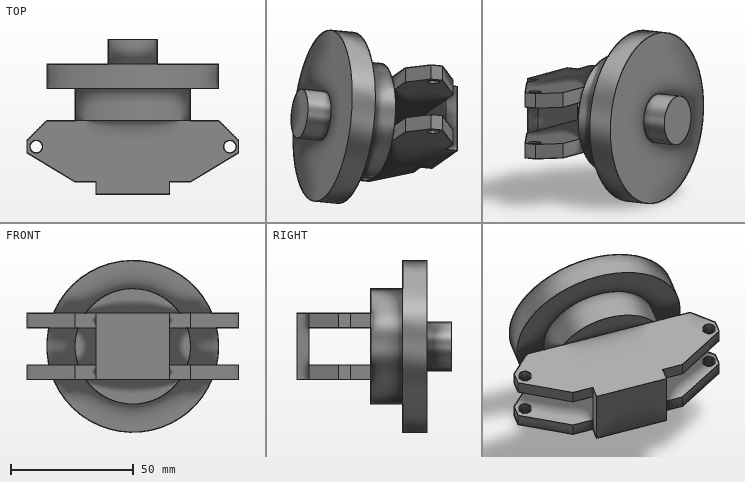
import cadquery as cq

stub_diameter = 20
stub_length = 10
flange_diameter = 70
flange_thickness = 10
boss_diameter = 47
boss_length = 13

plate_thickness = 6
plate_gap = 15
plate_depth = 25
plate_width = 86.26
plate_tip_half_width = plate_width / 2
plate_back_half_width = flange_diameter / 2
plate_front_half_width = boss_diameter / 2
tip_edge_length = 5
tip_back_offset = plate_tip_half_width - plate_back_half_width
tip_front_offset = tip_back_offset + tip_edge_length

pin_hole_diameter = 5
left_pin_hole_x = -39.3
right_pin_hole_x = 39.55
pin_hole_offset = tip_back_offset + tip_edge_length / 2

bridge_width = 30
bridge_thickness = 5
bridge_height = plate_gap + 2 * plate_thickness

boss_face_y = 0
flange_front_y = boss_face_y + boss_length
stub_front_y = flange_front_y + flange_thickness
plate_front_y = boss_face_y - plate_depth


def disc(diameter, front_y, length):
    """Cylinder along Y that starts at front_y and extends toward +Y."""
    return (
        cq.Workplane("XZ", origin=(0, front_y, 0))
        .circle(diameter / 2)
        .extrude(-length)
    )


def lug_plate(bottom_z):
    """Horizontal plate with tapered tips and a pin hole in each tip."""
    right_side = [
        (plate_back_half_width, boss_face_y),
        (plate_tip_half_width, boss_face_y - tip_back_offset),
        (plate_tip_half_width, boss_face_y - tip_front_offset),
        (plate_front_half_width, plate_front_y),
    ]
    left_side = [(-x, y) for x, y in reversed(right_side)]
    hole_y = boss_face_y - pin_hole_offset
    plane = cq.Workplane("XY", origin=(0, 0, bottom_z))
    plate = plane.polyline(right_side + left_side).close().extrude(plate_thickness)
    holes = (
        plane.pushPoints([(left_pin_hole_x, hole_y), (right_pin_hole_x, hole_y)])
        .circle(pin_hole_diameter / 2)
        .extrude(plate_thickness)
    )
    return plate.cut(holes)


def bridge():
    """Upright block joining the front edges of both plates."""
    return cq.Workplane("XY").box(bridge_width, bridge_thickness, bridge_height).translate(
        (0, plate_front_y - bridge_thickness / 2, 0)
    )


boss = disc(boss_diameter, boss_face_y, boss_length)
flange = disc(flange_diameter, flange_front_y, flange_thickness)
stub = disc(stub_diameter, stub_front_y, stub_length)
upper_plate = lug_plate(plate_gap / 2)
lower_plate = lug_plate(-plate_gap / 2 - plate_thickness)

result = boss.union(flange).union(stub).union(upper_plate).union(lower_plate).union(bridge())